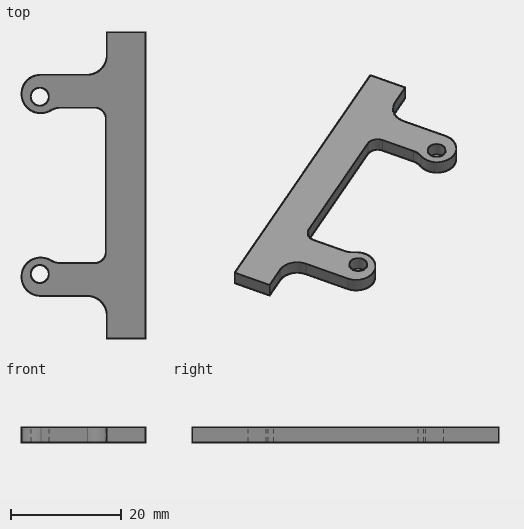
import cadquery as cq
import math

length = 55.5
width = 22.5
thickness = 2.8
half_length = length / 2

end_width = 7.05
middle_width = 7.2

arm_outer_y = 20.05
arm_inner_y = 14.05
tip_radius = 3.5
outer_fillet = 3.5
inner_fillet = 2.0
neck_radius = 3.5

hole_diameter = 3.2
hole_x = -19.15
hole_y = 16.05

tip_x = tip_radius - width
tip_y = arm_outer_y - tip_radius

center_distance = tip_radius + neck_radius
neck_y = arm_inner_y - neck_radius
neck_x = tip_x + math.sqrt(center_distance**2 - (tip_y - neck_y)**2)
neck_angle = math.atan2(neck_y - tip_y, neck_x - tip_x)
tip_end = (
    tip_x + tip_radius * math.cos(neck_angle),
    tip_y + tip_radius * math.sin(neck_angle),
)
neck_mid_angle = (math.pi / 2 + neck_angle + math.pi) / 2
neck_mid = (
    neck_x + neck_radius * math.cos(neck_mid_angle),
    neck_y + neck_radius * math.sin(neck_mid_angle),
)


def half_plate():
    """Half of the plate on the +Y side, with one arm."""
    diagonal = math.sqrt(0.5)
    outer_center = (-end_width - outer_fillet, arm_outer_y + outer_fillet)
    outer_mid = (
        outer_center[0] + outer_fillet * diagonal,
        outer_center[1] - outer_fillet * diagonal,
    )
    inner_center = (-middle_width - inner_fillet, arm_inner_y - inner_fillet)
    inner_mid = (
        inner_center[0] + inner_fillet * diagonal,
        inner_center[1] + inner_fillet * diagonal,
    )
    return (
        cq.Workplane("XY")
        .moveTo(0, 0)
        .lineTo(0, half_length)
        .lineTo(-end_width, half_length)
        .lineTo(-end_width, outer_center[1])
        .threePointArc(outer_mid, (outer_center[0], arm_outer_y))
        .lineTo(tip_x, arm_outer_y)
        .threePointArc((-width, tip_y), tip_end)
        .threePointArc(neck_mid, (neck_x, arm_inner_y))
        .lineTo(inner_center[0], arm_inner_y)
        .threePointArc(inner_mid, (-middle_width, inner_center[1]))
        .lineTo(-middle_width, 0)
        .close()
        .extrude(thickness)
    )


upper_half = half_plate()
plate = upper_half.union(upper_half.mirror("XZ")).clean()

holes = (
    cq.Workplane("XY")
    .pushPoints([(hole_x, hole_y), (hole_x, -hole_y)])
    .circle(hole_diameter / 2)
    .extrude(thickness)
)
result = plate.cut(holes)